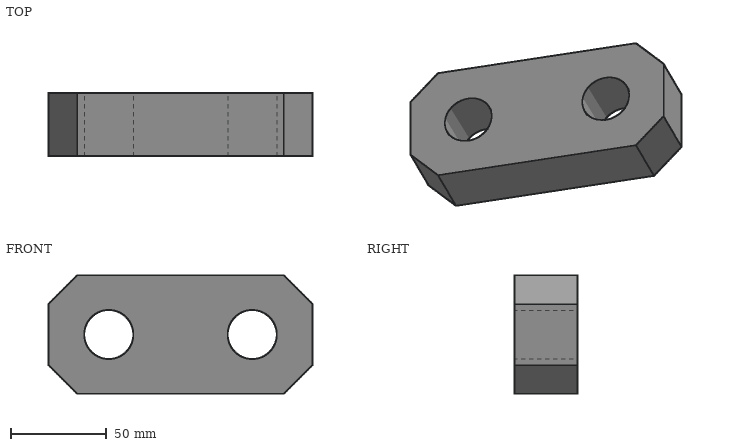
import cadquery as cq

length = 138.0
thickness = 33.0
height = 62.0
corner_chamfer = 15.0

hole_diameter = 25.5
hole_spacing = 75.0

block = cq.Workplane("XY").box(length, thickness, height)
block = block.edges("|Y").chamfer(corner_chamfer)

hole_centres = [(-hole_spacing / 2, 0), (hole_spacing / 2, 0)]
result = block.faces("<Y").workplane(centerOption="CenterOfBoundBox").pushPoints(hole_centres).hole(hole_diameter)